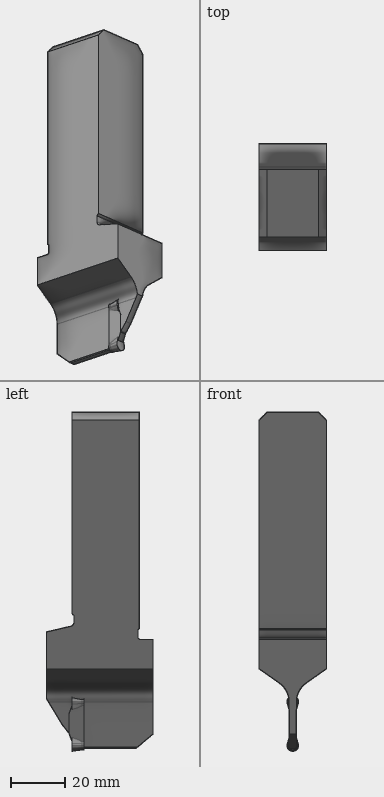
import cadquery as cq
import math

width = 24.9
height = 125.2
head_depth = 39.4
head_back = head_depth / 2
head_front = -head_depth / 2
shank_back = 10.3
shank_front = shank_back - width
shank_chamfer = 3.0

rear_relief_top = 50.8
rear_relief_depth = 0.8
rear_relief_bottom = 47.7
rear_fillet_end = (11.1, 46.1)
rear_fillet_middle = (10.0, 46.6)
rear_shoulder_z = 44.1

front_relief_top = 45.3
front_relief_depth = 0.5
front_shoulder_z = 41.3

taper_top = 30.4
taper_angle = 35.0
taper_fillet = 8.5
blade_half = 1.4
blade_bottom = 1.1
blade_edge_chamfer = 0.4

blade_rear_top = 19.5
blade_rear_knee = (14.0, 10.0)
blade_rear_tip = (11.6, 7.0)
blade_front_chamfer_y = 6.3
blade_front_chamfer_z = 5.3

insert_height = 20.4
insert_seat = 5.8
insert_face = 11.4
head_face = 10.3
land_depth = 0.9
face_radius = 2.1
land_radius = 1.6
neck_rise = 0.4
neck_tip_half = 1.1
face_neck_end = 5.9
land_neck_end = 5.3
plate_face_end = 3.6
plate_corner_z = 6.6


def side_outline():
    """Holder outline in the YZ plane."""
    return (
        cq.Workplane("YZ")
        .moveTo(shank_front, height)
        .lineTo(shank_back, height)
        .lineTo(shank_back, rear_relief_top)
        .lineTo(shank_back - rear_relief_depth, rear_relief_top - rear_relief_depth)
        .lineTo(shank_back - rear_relief_depth, rear_relief_bottom)
        .threePointArc(rear_fillet_middle, rear_fillet_end)
        .lineTo(head_back, rear_shoulder_z)
        .lineTo(head_back, blade_rear_top)
        .lineTo(*blade_rear_knee)
        .lineTo(*blade_rear_tip)
        .lineTo(insert_seat, blade_bottom)
        .lineTo(head_front + blade_front_chamfer_y, blade_bottom)
        .lineTo(head_front, blade_bottom + blade_front_chamfer_z)
        .lineTo(head_front, front_shoulder_z)
        .lineTo(shank_front, front_shoulder_z)
        .lineTo(shank_front + front_relief_depth, front_shoulder_z + front_relief_depth)
        .lineTo(shank_front + front_relief_depth, front_relief_top - front_relief_depth)
        .lineTo(shank_front, front_relief_top)
        .close()
    )


def front_profile():
    """Holder silhouette in the XZ plane, run through the full head depth."""
    half = width / 2
    corner_z = taper_top - (half - blade_half) * math.tan(math.radians(taper_angle))
    chamfer_half = blade_half - blade_edge_chamfer
    right_side = [
        (half - shank_chamfer, height),
        (half, height - shank_chamfer),
        (half, taper_top),
        (blade_half, corner_z),
        (blade_half, blade_bottom + blade_edge_chamfer),
        (chamfer_half, blade_bottom),
    ]
    left_side = [(-x, z) for x, z in reversed(right_side)]
    profile = (
        cq.Workplane("XZ")
        .polyline(right_side + left_side)
        .close()
        .extrude(head_depth / 2, both=True)
    )
    reach = 0.1
    taper_roots = cq.selectors.BoxSelector(
        (-blade_half - reach, head_front, corner_z - reach),
        (blade_half + reach, head_back, corner_z + reach),
    )
    return profile.edges("|Y").edges(taper_roots).fillet(taper_fillet)


def make_holder():
    holder = side_outline().extrude(width / 2, both=True).intersect(front_profile())
    for pocket in (make_insert_plate(), *make_cutting_heads()):
        holder = holder.cut(pocket)
    return holder


def head_section(y, radius, center_z, neck_end, flipped):
    """Round head with straight neck flanks, at constant Y; flipped is the upper end."""
    neck_z = center_z + neck_rise * radius
    neck_half = radius * math.sqrt(1 - neck_rise**2)

    def point(x, z):
        return (x, insert_height - z if flipped else z)

    return (
        cq.Workplane("XZ", origin=(0, y, 0))
        .moveTo(*point(-neck_tip_half, neck_end))
        .lineTo(*point(-neck_half, neck_z))
        .threePointArc(point(0, center_z - radius), point(neck_half, neck_z))
        .lineTo(*point(neck_tip_half, neck_end))
        .close()
    )


def make_cutting_heads():
    """Lower and upper cutting heads, each tapering from its face to a straight land."""
    land_y = insert_seat + land_depth
    heads = []
    for flipped in (False, True):
        face = head_section(head_face, face_radius, face_radius, face_neck_end, flipped)
        land = head_section(land_y, land_radius, face_radius, land_neck_end, flipped)
        taper = cq.Solid.makeLoft([face.wire().val(), land.wire().val()], True)
        heads.append(land.extrude(land_depth).union(cq.Workplane(taper)))
    return heads


def make_insert_plate():
    """Flat plate that joins the two cutting heads."""
    lower_edge = [
        (insert_seat, face_radius),
        (head_face, face_radius),
        (head_face, plate_face_end),
        (insert_face, plate_corner_z),
    ]
    upper_edge = [(y, insert_height - z) for y, z in reversed(lower_edge)]
    outline = cq.Workplane("YZ").polyline(lower_edge + upper_edge).close()
    return outline.extrude(blade_half, both=True)


def make_insert():
    insert = make_insert_plate()
    for head in make_cutting_heads():
        insert = insert.union(head)
    return insert


insert = make_insert()
holder = make_holder()
result = cq.Compound.makeCompound([holder.solids().val(), insert.solids().val()])